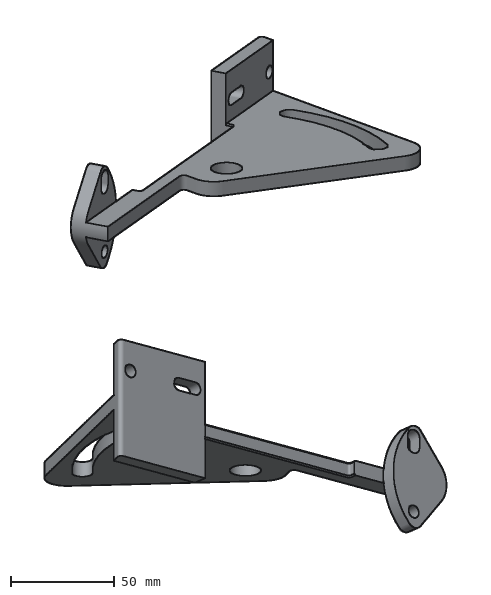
import cadquery as cq
import math

ARM_TILT = 18.0
SIDE_TILT = 24.0

SHEET = 7.6
PAD = 8.0
ARM_WIDTH = 12.0
RELIEF_DEPTH = 4.0
ARM_LEFT = -27.3
ARM_RIGHT = ARM_LEFT + ARM_WIDTH
RELIEF_X = ARM_LEFT + RELIEF_DEPTH
PAD_FACE = ARM_LEFT - PAD

PLATE_END = 52.0
RELIEF_END = -45.5
ARM_END = -95.9

BACK = 88.5
FRONT = 20.5
SIDE = 15.5
BACK_RADIUS = 11.0
FRONT_RADIUS = 12.0
INNER_RADIUS = 2.3
RELIEF_RADIUS = 1.1
RELIEF_CHAMFER = 0.8
PIVOT_RADIUS = 7.6
SLOT_ARC_RADIUS = 79.0
SLOT_WIDTH = 10.0
SLOT_HALF_ANGLE = 22.5

PLATE_HEIGHT = 60.0
PLATE_CORNER_RADIUS = 2.0
PLATE_HOLE = 6.5
PLATE_HOLE_Z = 14.9
PLATE_HOLE_Y = 97.8
PLATE_SLOT_Y = 63.0
PLATE_SLOT_LENGTH = 16.2

TIP_Y = -76.5
TIP_Z = 21.7
TIP_RADIUS = 4.5
NOSE_RADIUS = 14.1
NOSE_Y = ARM_END + NOSE_RADIUS
FLANGE_LENGTH = 32.6
FLANGE_REAR = ARM_END + FLANGE_LENGTH
FLANGE_HOLE = 6.3
FLANGE_HOLE_Y = -75.7
FLANGE_HOLE_Z = 18.1
FLANGE_SLOT_WIDTH = 7.2
FLANGE_SLOT_LENGTH = 12.0

tilt = math.radians(ARM_TILT)
side_tilt = math.radians(SIDE_TILT)


def to_local(x, y):
    """Turn a point of the finished part into the arm's frame."""
    return (
        x * math.cos(tilt) + y * math.sin(tilt),
        y * math.cos(tilt) - x * math.sin(tilt),
    )


def on_level(local_x, level):
    """Point at local_x on a straight edge that ends up parallel to X."""
    return (local_x, (level - local_x * math.sin(tilt)) / math.cos(tilt))


def on_side(level):
    """Point where the free side meets an edge that ends up parallel to X."""
    x = (SIDE + level * math.sin(side_tilt)) / math.cos(side_tilt)
    return to_local(x, level)


def corner_at(point):
    """Selector for the upright edge through a plan point."""
    return cq.selectors.NearestToPointSelector((*point, 0))


def across(y, z):
    """Workplane on the pads' outer face; its axes are local Y and Z."""
    return cq.Workplane("YZ", origin=(PAD_FACE, 0, 0)).center(y, z)


def make_sheet():
    back_corner = on_side(BACK)
    front_corner = on_side(-FRONT)
    inner_corner = on_level(ARM_RIGHT, -FRONT)
    relief_start = (RELIEF_X, PLATE_END)
    relief_stop = (RELIEF_X, RELIEF_END)
    outline = [
        on_level(ARM_LEFT, BACK),
        back_corner,
        front_corner,
        inner_corner,
        (ARM_RIGHT, ARM_END),
        (ARM_LEFT, ARM_END),
        (ARM_LEFT, RELIEF_END),
        relief_stop,
        relief_start,
        (ARM_LEFT, PLATE_END),
    ]
    sheet = cq.Workplane("XY").polyline(outline).close().extrude(SHEET / 2, both=True)
    rounds = [
        (back_corner, BACK_RADIUS),
        (front_corner, FRONT_RADIUS),
        (inner_corner, INNER_RADIUS),
        (relief_start, RELIEF_RADIUS),
        (relief_stop, RELIEF_RADIUS),
    ]
    for point, radius in rounds:
        sheet = sheet.edges("|Z").edges(corner_at(point)).fillet(radius)

    relief_middle = (PLATE_END + RELIEF_END) / 2
    for z in (-SHEET / 2, SHEET / 2):
        edge = cq.selectors.NearestToPointSelector((RELIEF_X, relief_middle, z))
        sheet = sheet.edges("|Y").edges(edge).chamfer(RELIEF_CHAMFER)

    nose = across(NOSE_Y, 0).circle(NOSE_RADIUS).extrude(PAD + ARM_WIDTH)
    end_length = NOSE_Y - ARM_END
    end_block = cq.Workplane("XY").box(ARM_WIDTH, end_length, SHEET)
    end_block = end_block.translate((ARM_LEFT + ARM_WIDTH / 2, NOSE_Y - end_length / 2, 0))
    return sheet.cut(end_block.cut(nose))


def make_plate():
    outer_corner = on_level(PAD_FACE, BACK)
    outline = [
        outer_corner,
        on_level(ARM_LEFT, BACK),
        (ARM_LEFT, PLATE_END),
        (PAD_FACE, PLATE_END),
    ]
    plate = cq.Workplane("XY").polyline(outline).close().extrude(PLATE_HEIGHT / 2, both=True)
    plate = plate.edges("|Z").edges(corner_at(outer_corner)).fillet(PLATE_CORNER_RADIUS)
    hole = across(PLATE_HOLE_Y, PLATE_HOLE_Z).circle(PLATE_HOLE / 2).extrude(PAD)
    slot = across(PLATE_SLOT_Y, PLATE_HOLE_Z).slot2D(PLATE_SLOT_LENGTH, PLATE_HOLE).extrude(PAD)
    return plate.cut(hole).cut(slot)


def make_flange():
    tip_depth = FLANGE_REAR - TIP_Y
    rear_radius = (tip_depth**2 + TIP_Z**2 - TIP_RADIUS**2) / (2 * (tip_depth - TIP_RADIUS))
    rear_center = FLANGE_REAR - rear_radius
    rear_angle = math.atan2(TIP_Z, TIP_Y - rear_center)

    center_gap = math.hypot(TIP_Y - NOSE_Y, TIP_Z)
    center_angle = math.atan2(TIP_Z, TIP_Y - NOSE_Y)
    flank_angle = center_angle + math.acos((NOSE_RADIUS - TIP_RADIUS) / center_gap)

    def tip_point(angle):
        return (TIP_Y + TIP_RADIUS * math.cos(angle), TIP_Z + TIP_RADIUS * math.sin(angle))

    def mirror(point):
        return (point[0], -point[1])

    rear_join = tip_point(rear_angle)
    tip_middle = tip_point((rear_angle + flank_angle) / 2)
    flank_start = tip_point(flank_angle)
    flank_end = (
        NOSE_Y + NOSE_RADIUS * math.cos(flank_angle),
        NOSE_RADIUS * math.sin(flank_angle),
    )
    flange = (
        across(0, 0)
        .moveTo(*mirror(rear_join))
        .threePointArc((FLANGE_REAR, 0), rear_join)
        .threePointArc(tip_middle, flank_start)
        .lineTo(*flank_end)
        .threePointArc((ARM_END, 0), mirror(flank_end))
        .lineTo(*mirror(flank_start))
        .threePointArc(mirror(tip_middle), mirror(rear_join))
        .close()
        .extrude(PAD)
    )
    hole = across(FLANGE_HOLE_Y, -FLANGE_HOLE_Z).circle(FLANGE_HOLE / 2).extrude(PAD)
    slot = (
        across(FLANGE_HOLE_Y, FLANGE_HOLE_Z)
        .slot2D(FLANGE_SLOT_LENGTH, FLANGE_SLOT_WIDTH, 90)
        .extrude(PAD)
    )
    return flange.cut(hole).cut(slot)


def make_arc_slot():
    """Cutter for the curved slot, centred on the +Y axis of the finished part."""
    half_angle = math.radians(SLOT_HALF_ANGLE)

    def polar(radius, angle):
        return (radius * math.sin(angle), radius * math.cos(angle))

    inner = SLOT_ARC_RADIUS - SLOT_WIDTH / 2
    outer = SLOT_ARC_RADIUS + SLOT_WIDTH / 2
    cap_angle = half_angle + SLOT_WIDTH / 2 / SLOT_ARC_RADIUS
    return (
        cq.Workplane("XY")
        .moveTo(*polar(outer, -half_angle))
        .threePointArc((0, outer), polar(outer, half_angle))
        .threePointArc(polar(SLOT_ARC_RADIUS, cap_angle), polar(inner, half_angle))
        .threePointArc((0, inner), polar(inner, -half_angle))
        .threePointArc(polar(SLOT_ARC_RADIUS, -cap_angle), polar(outer, -half_angle))
        .close()
        .extrude(SHEET / 2, both=True)
    )


body = make_sheet().union(make_plate()).union(make_flange())
body = body.rotate((0, 0, 0), (0, 0, 1), ARM_TILT)
pivot_hole = cq.Workplane("XY").circle(PIVOT_RADIUS).extrude(SHEET / 2, both=True)
result = body.cut(pivot_hole).cut(make_arc_slot())